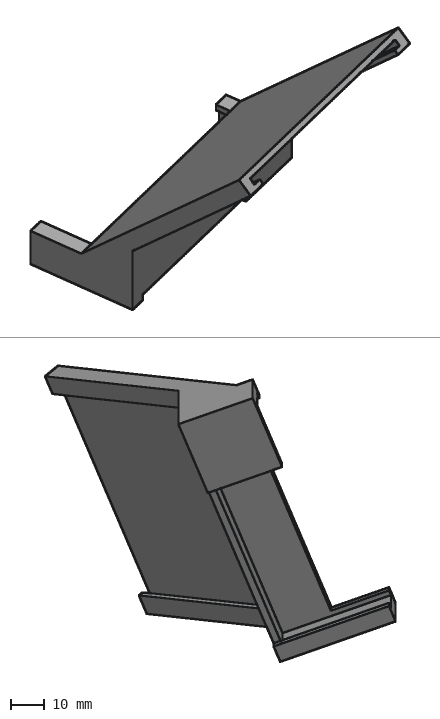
import cadquery as cq
import math

TOTAL_LENGTH = 78.7
TOTAL_WIDTH = 83.16
TOTAL_HEIGHT = 69.38

BASE_LENGTH = 36.5
BASE_HEIGHT = 13.0
SIDE_WALL = 3.75
SKIN = 2.2
BASE_LIP = 5.4
FAR_ARM_START = 13.0
FLOOR_WIDTH = 24.05
BACK_WALL = 2.2
UNDERCUT_ANGLE = 6

PLATE_ANGLE = 45
PLATE_THICKNESS = 5.9
PLATE_SKIN = 2.0
GROOVE_THICKNESS = 2.2
PLATE_NEAR_LIP = 6.5
PLATE_FAR_LIP = 6.2

SLOPE = math.radians(PLATE_ANGLE)
TIP_DX = PLATE_THICKNESS * math.sin(SLOPE)
TIP_DZ = PLATE_THICKNESS * math.cos(SLOPE)
TOP_TIP_X = TOTAL_LENGTH - TIP_DX
PLATE_START_X = TOP_TIP_X - (TOTAL_HEIGHT - BASE_HEIGHT) / math.tan(SLOPE)
UNDERSIDE_Z = TOTAL_HEIGHT - TIP_DZ - (TOTAL_LENGTH - BASE_LENGTH) * math.tan(SLOPE)
CHANNEL_LENGTH = (TOTAL_LENGTH - BASE_LENGTH) / math.cos(SLOPE)


def box(x_start, x_end, y_start, y_end, z_start, z_end):
    """Axis-aligned box given by its limits."""
    return cq.Workplane("XY").box(
        x_end - x_start, y_end - y_start, z_end - z_start, centered=False
    ).translate((x_start, y_start, z_start))


def side_prism(points, y_start, y_end):
    """Side outline in XZ, extruded along Y."""
    outline = cq.Workplane("XZ", origin=(0, y_start, 0)).polyline(points).close()
    return outline.extrude(y_start - y_end)


def body():
    """Base block and inclined plate in one outline."""
    return side_prism(
        [
            (0, 0),
            (BASE_LENGTH, 0),
            (BASE_LENGTH, UNDERSIDE_Z),
            (TOTAL_LENGTH, TOTAL_HEIGHT - TIP_DZ),
            (TOP_TIP_X, TOTAL_HEIGHT),
            (PLATE_START_X, BASE_HEIGHT),
            (0, BASE_HEIGHT),
        ],
        0,
        TOTAL_WIDTH,
    )


def base_pocket():
    """Pocket between the side walls, open towards -X."""
    return box(
        0, BASE_LENGTH - BACK_WALL,
        SIDE_WALL, TOTAL_WIDTH - SIDE_WALL,
        SKIN, BASE_HEIGHT - SKIN,
    )


def roof_opening():
    """Opening between the upper lips, ending in a slightly undercut front edge of the plate."""
    roof_z = BASE_HEIGHT - SKIN
    undercut = SKIN * math.tan(math.radians(UNDERCUT_ANGLE))
    return side_prism(
        [
            (0, roof_z),
            (PLATE_START_X + undercut, roof_z),
            (PLATE_START_X, BASE_HEIGHT),
            (0, BASE_HEIGHT),
        ],
        BASE_LIP,
        TOTAL_WIDTH - BASE_LIP,
    )


def floor_opening():
    """Opening through the floor between the near lip and the far floor strip."""
    return box(0, BASE_LENGTH, BASE_LIP, TOTAL_WIDTH - FLOOR_WIDTH, 0, SKIN)


def far_arm_recess():
    """Shortens the far arm and its floor strip."""
    return box(0, FAR_ARM_START, TOTAL_WIDTH / 2, TOTAL_WIDTH, 0, BASE_HEIGHT)


def plate_slot(depth_start, depth_end, near_margin, far_margin):
    """Slot along the plate from its tip, at a depth range below its upper face."""
    slot = box(
        -CHANNEL_LENGTH, 0,
        near_margin, TOTAL_WIDTH - far_margin,
        -depth_end, -depth_start,
    )
    return slot.rotate((0, 0, 0), (0, 1, 0), -PLATE_ANGLE).translate((TOP_TIP_X, 0, TOTAL_HEIGHT))


def plate_groove():
    """Groove running under the plate lips."""
    return plate_slot(PLATE_SKIN, PLATE_SKIN + GROOVE_THICKNESS, SIDE_WALL, SIDE_WALL)


def plate_underside_opening():
    """Opening between the plate lips."""
    return plate_slot(PLATE_SKIN, PLATE_THICKNESS, PLATE_NEAR_LIP, PLATE_FAR_LIP)


result = (
    body()
    .cut(base_pocket())
    .cut(roof_opening())
    .cut(floor_opening())
    .cut(far_arm_recess())
    .cut(plate_groove())
    .cut(plate_underside_opening())
)